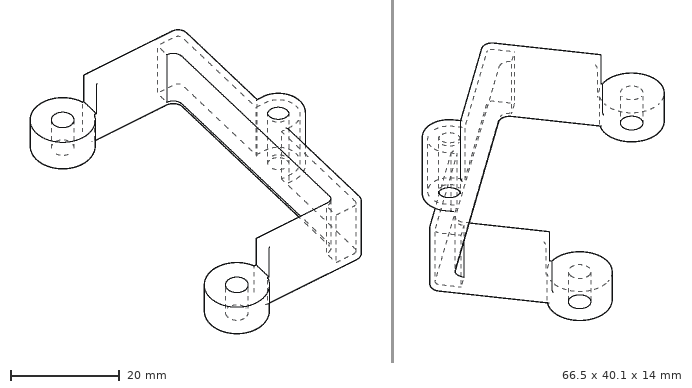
import cadquery as cq

height = 14.0
edge_radius = 0.5

foot_diameter = 12.0
foot_height = 7.0
foot_hole_diameter = 4.15
foot_x = 27.24

wall_thickness = 4.0
outer_half_width = 28.98
inner_half_width = outer_half_width - wall_thickness
rail_back_y = 27.98
rail_front_y = rail_back_y - wall_thickness
corner_radius = 2.0
arm_end_y = foot_diameter / 2
inner_corner_start_y = rail_front_y - corner_radius

tab_radius = 5.0
tab_stem_half_width = 4.985
tab_y = 29.14
tab_hole_diameter = 4.0

skin = 1.0
core_height = height - 2 * skin


def plate(x_min, x_max, y_min, y_max, thickness):
    """Flat box standing on z = 0."""
    return (
        cq.Workplane("XY")
        .box(x_max - x_min, y_max - y_min, thickness, centered=False)
        .translate((x_min, y_min, 0))
    )


def cylinder(x, y, diameter, length):
    """Upright cylinder standing on z = 0."""
    return cq.Workplane("XY").center(x, y).circle(diameter / 2).extrude(length)


def make_opening():
    """Space between the arms, rounded where it meets the rail."""
    opening = plate(-inner_half_width, inner_half_width, -foot_diameter, rail_front_y, height)
    return opening.edges("|Z and >Y").fillet(corner_radius)


def make_tab(inset, length):
    """Lug with its outline moved inward by the inset."""
    radius = tab_radius - inset
    half_width = tab_stem_half_width - inset
    stem = plate(-half_width, half_width, rail_front_y, tab_y, length)
    round_end = cylinder(0, tab_y, 2 * radius, length)
    sides = plate(-half_width, half_width, rail_front_y, tab_y + radius, length)
    return stem.union(round_end.intersect(sides))


def make_tab_hole():
    return cylinder(0, tab_y, tab_hole_diameter, height)


def make_core():
    """Insert flush with the rail's front face, its inner corners and the tab hole."""
    core_half_width = outer_half_width - skin
    core = plate(-core_half_width, core_half_width, inner_corner_start_y, rail_back_y - skin, core_height)
    core = core.edges("|Z and >Y").fillet(corner_radius - skin)
    core = core.union(make_tab(skin, core_height)).translate((0, 0, skin))
    return core.cut(make_opening()).cut(make_tab_hole())


def make_bracket(core):
    """Wall, tab and feet, with a pocket that holds the core."""
    bracket = plate(-outer_half_width, outer_half_width, arm_end_y, rail_back_y, height)
    bracket = bracket.edges("|Z and >Y").fillet(corner_radius)
    bracket = bracket.union(make_tab(0, height))

    bracket = bracket.union(plate(-outer_half_width, outer_half_width, 0, arm_end_y, foot_height))
    bracket = bracket.cut(make_opening()).cut(make_tab_hole())
    for x in (-foot_x, foot_x):
        bracket = bracket.union(cylinder(x, 0, foot_diameter, foot_height))

    bracket = bracket.faces("<Z or >Z").edges().fillet(edge_radius)
    for x in (-foot_x, foot_x):
        bracket = bracket.cut(cylinder(x, 0, foot_hole_diameter, foot_height))
    return bracket.cut(core)


core = make_core()
bracket = make_bracket(core)

result = cq.Compound.makeCompound([*bracket.solids().vals(), *core.solids().vals()])